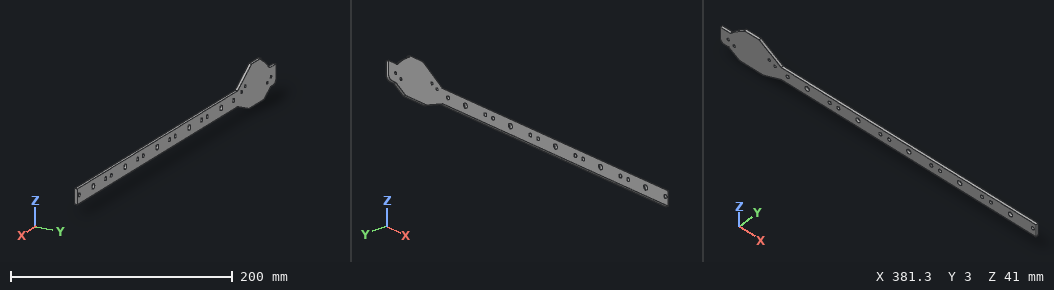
import cadquery as cq

length = 381.3
thickness = 3.0
height = 41.0

arm_bottom = 8.5
arm_width = 15.3
arm_top = arm_bottom + arm_width
arm_start = 73.5

tab_top = 27.0
tab_corner_radius = 5.0
tab_end_top = 12.2
tab_end_bottom = 10.0
head_top_left = 28.5
head_top_right = 47.0
head_bottom_left = 23.3
head_bottom_right = 52.0
shoulder_mid = (20.2, 34.5)
shoulder_top = 39.5

arm_hole_z = 16.8
group_count = 5
group_pitch = 61.5
first_large_x = 105.0
medium_before = 23.5
medium_after = 27.0
large_diameter = 5.0
medium_diameter = 3.5

small_diameter = 2.5
small_hole_points = [(9.5, 17.5), (16.8, 14.0), (59.0, 23.5), (66.0, 20.2)]


def make_plate():
    """Outline extruded along +Y from the front face."""
    plate = (
        cq.Workplane("XZ")
        .moveTo(0, arm_bottom)
        .lineTo(tab_end_bottom, arm_bottom)
        .lineTo(head_bottom_left, 0)
        .lineTo(head_bottom_right, 0)
        .lineTo(arm_start, arm_bottom)
        .lineTo(length, arm_bottom)
        .lineTo(length, arm_top)
        .lineTo(arm_start, arm_top)
        .lineTo(head_top_right, height)
        .lineTo(head_top_left, height)
        .lineTo(head_top_left, shoulder_top)
        .threePointArc(shoulder_mid, (tab_end_top, tab_top))
        .lineTo(0, tab_top)
        .close()
        .extrude(-thickness)
    )
    lower_tab_corner = cq.selectors.NearestToPointSelector((0, thickness / 2, arm_bottom))
    return plate.edges("|Y").edges(lower_tab_corner).fillet(tab_corner_radius)


def make_pins(points, diameter):
    """Cylinders through the full thickness, used to cut holes."""
    return cq.Workplane("XZ").pushPoints(points).circle(diameter / 2).extrude(-thickness)


large_points = []
medium_points = []
for group in range(group_count):
    large_x = first_large_x + group * group_pitch
    large_points.append((large_x, arm_hole_z))
    medium_points.append((large_x - medium_before, arm_hole_z))
    medium_points.append((large_x + medium_after, arm_hole_z))

result = (
    make_plate()
    .cut(make_pins(large_points, large_diameter))
    .cut(make_pins(medium_points, medium_diameter))
    .cut(make_pins(small_hole_points, small_diameter))
)